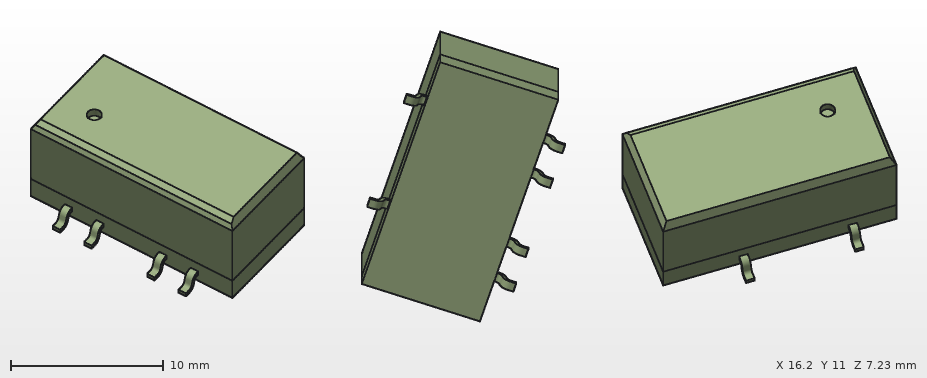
import cadquery as cq
import math

case_length = 16.24
case_width = 8.2
span_over_leads = 11.0
total_height = 7.23

lead_width = 0.6
lead_thickness = 0.3
lead_top_z = 1.19
upper_bend_inner_radius = 0.26
lower_bend_inner_radius = 0.3
bend_angle = math.radians(74)
shoulder_length = 0.15
lead_pitch = 2.53
front_lead_positions = [-2 * lead_pitch, -lead_pitch, lead_pitch, 2 * lead_pitch]
back_lead_positions = [-2 * lead_pitch, lead_pitch]

base_bottom_z = 0.31
split_z = 1.93
bevel_height = 0.6
bevel_slope = math.radians(60)
second_bevel_slope = math.radians(30)
second_bevel_height = 0.25

mark_diameter = 0.99
mark_inset = 3.0
mark_depth = 0.6


def make_block(bottom_z, top_z):
    """Box with the plan size of the case, between two heights."""
    return (
        cq.Workplane("XY")
        .workplane(offset=bottom_z)
        .rect(case_length, case_width)
        .extrude(top_z - bottom_z)
    )


def bend_run_and_drop(inner_radius):
    """Horizontal run and vertical drop of a lead's centreline through one bend."""
    radius = inner_radius + lead_thickness / 2
    return radius * math.sin(bend_angle), radius * (1 - math.cos(bend_angle))


def make_lead():
    """Gull-wing lead at X = 0 that leaves the front side of the base toward -Y."""
    upper_run, upper_drop = bend_run_and_drop(upper_bend_inner_radius)
    lower_run, lower_drop = bend_run_and_drop(lower_bend_inner_radius)
    root_y = -case_width / 2
    tip_y = -span_over_leads / 2
    shoulder_z = lead_top_z - lead_thickness / 2
    foot_z = lead_thickness / 2

    upper_bend_start_y = root_y - shoulder_length
    shank_top = (upper_bend_start_y - upper_run, shoulder_z - upper_drop)
    shank_bottom_z = foot_z + lower_drop
    shank_run = (shank_top[1] - shank_bottom_z) / math.tan(bend_angle)
    shank_bottom = (shank_top[0] - shank_run, shank_bottom_z)
    centreline = (
        cq.Workplane("YZ")
        .moveTo(root_y, shoulder_z)
        .lineTo(upper_bend_start_y, shoulder_z)
        .tangentArcPoint(shank_top, relative=False)
        .lineTo(*shank_bottom)
        .tangentArcPoint((shank_bottom[0] - lower_run, foot_z), relative=False)
        .lineTo(tip_y, foot_z)
    )
    return (
        cq.Workplane("XZ", origin=(0, root_y, shoulder_z))
        .rect(lead_width, lead_thickness)
        .sweep(centreline)
    )


def make_base():
    """Flat base block with its leads along the front and back sides."""
    base = make_block(base_bottom_z, split_z)
    front_lead = make_lead()
    back_lead = front_lead.mirror("XZ")
    for x in front_lead_positions:
        base = base.union(front_lead.translate((x, 0, 0)))
    for x in back_lead_positions:
        base = base.union(back_lead.translate((x, 0, 0)))
    return base


def make_second_bevel_cutter():
    """Wedge that removes the front top edge above the shallower bevel."""
    second_bevel_run = second_bevel_height / math.tan(second_bevel_slope)
    first_bevel_run = (bevel_height - second_bevel_height) / math.tan(bevel_slope)
    lower_y = -case_width / 2 + first_bevel_run
    lower_z = total_height - second_bevel_height
    return (
        cq.Workplane("YZ")
        .moveTo(lower_y, lower_z)
        .lineTo(lower_y + second_bevel_run, total_height)
        .lineTo(lower_y, total_height)
        .close()
        .extrude(case_length / 2, both=True)
    )


def make_cover():
    """Cover block with bevelled top edges and the round pin-1 mark."""
    bevel_start_z = total_height - bevel_height
    bevel_taper = 90 - math.degrees(bevel_slope)
    bevelled_top = (
        cq.Workplane("XY")
        .workplane(offset=bevel_start_z)
        .rect(case_length, case_width)
        .extrude(bevel_height, taper=bevel_taper)
    )
    mark = (
        cq.Workplane("XY")
        .workplane(offset=total_height - mark_depth)
        .center(mark_inset - case_length / 2, mark_inset - case_width / 2)
        .circle(mark_diameter / 2)
        .extrude(mark_depth)
    )
    cover = make_block(split_z, bevel_start_z).union(bevelled_top)
    return cover.cut(make_second_bevel_cutter()).cut(mark)


base = make_base()
cover = make_cover()

result = cq.Compound.makeCompound([base.solids().val(), cover.solids().val()])